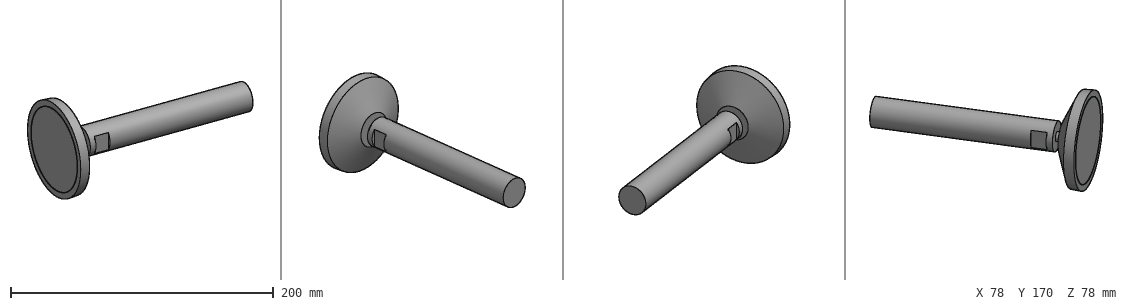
import cadquery as cq
import math


overall_length = 170.0
rod_diameter = 24.0
rod_start = 25.0
neck_diameter = 7.8
ball_diameter = 12.5
flat_start = 30.0
flat_length = 12.5
width_across_flats = 19.0

base_diameter = 78.0
rim_top_diameter = 77.0
top_diameter = 28.0
rim_height = 8.3
foot_height = 20.0
collar_diameter = 10.4

groove_outer_diameter = 68.0
groove_inner_diameter = 67.5
groove_depth = 0.25

ball_radius = ball_diameter / 2
ball_center = foot_height - math.sqrt(ball_radius**2 - (collar_diameter / 2) ** 2)


def cylinder(diameter, start, end):
    """Solid cylinder on the Y axis between two Y positions."""
    disc = cq.Workplane("XZ", origin=(0, start, 0)).circle(diameter / 2)
    return disc.extrude(start - end)


def ball():
    """Ball end of the spindle, which also shapes the socket in the foot."""
    return cq.Workplane("XY").sphere(ball_radius).translate((0, ball_center, 0))


def wrench_flat(side):
    """Block that cuts one wrench flat, on the +X (side = 1) or -X (side = -1) side of the rod."""
    cut_depth = (rod_diameter - width_across_flats) / 2
    cut_center_x = side * (width_across_flats + cut_depth) / 2
    cut_center_y = flat_start + flat_length / 2
    block = cq.Workplane("XY").box(cut_depth, flat_length, rod_diameter)
    return block.translate((cut_center_x, cut_center_y, 0))


def make_spindle():
    """Rod with two wrench flats, a thin neck and a ball end."""
    rod = cylinder(rod_diameter, rod_start, overall_length)
    for side in (-1, 1):
        rod = rod.cut(wrench_flat(side))
    neck = cylinder(neck_diameter, ball_center, rod_start)
    return rod.union(neck).union(ball())


def make_foot():
    """Conical foot with a ball socket on top and a ring groove in its sole."""
    profile = cq.Workplane("XY").polyline(
        [
            (0, 0),
            (base_diameter / 2, 0),
            (rim_top_diameter / 2, rim_height),
            (top_diameter / 2, foot_height),
            (0, foot_height),
        ]
    )
    body = profile.close().revolve(360, (0, 0, 0), (0, 1, 0))
    groove = cylinder(groove_outer_diameter, 0, groove_depth).cut(
        cylinder(groove_inner_diameter, 0, groove_depth)
    )
    return body.cut(groove).cut(ball())


spindle = make_spindle()
foot = make_foot()

result = cq.Compound.makeCompound([spindle.val(), foot.val()])